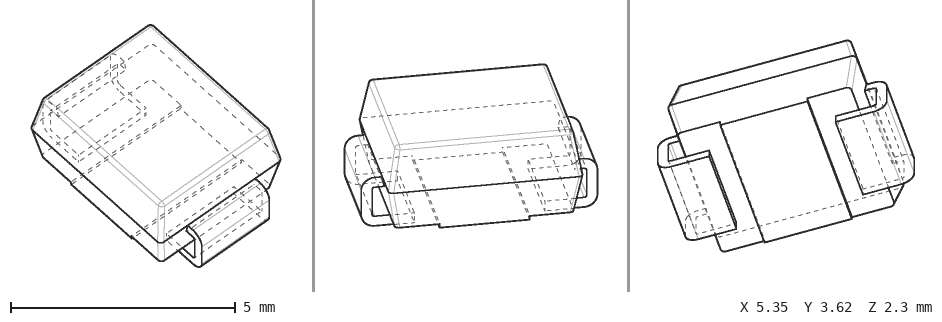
import cadquery as cq

TOTAL_LENGTH = 5.35
TOTAL_HEIGHT = 2.3

BODY_LENGTH = 4.4
BODY_WIDTH = 3.62
PARTING_Z = 1.225
DRAFT_ANGLE = 10.0
EDGE_RADIUS = 0.1

PAD_LENGTH = 2.04
PAD_DEPTH = 0.1

LEAD_WIDTH = 2.0
LEAD_THICKNESS = 0.245
LEAD_OUTER_RADIUS = 0.305
FOOT_LENGTH = 1.2
LEAD_EMBED = 0.215

BODY_BOTTOM_Z = LEAD_THICKNESS
PAD_BOTTOM_Z = BODY_BOTTOM_Z - PAD_DEPTH
LEAD_INNER_RADIUS = LEAD_OUTER_RADIUS - LEAD_THICKNESS


def body_half(height):
    """Tapered half rising from the parting plane, or hanging from it if height is negative."""
    return (
        cq.Workplane("XY", origin=(0, 0, PARTING_Z))
        .rect(BODY_LENGTH, BODY_WIDTH)
        .extrude(height, taper=DRAFT_ANGLE)
    )


def foot_reliefs():
    """Two full-width steps that lift the body ends above the pad to clear the feet."""
    relief_length = (BODY_LENGTH - PAD_LENGTH) / 2
    center_x = (BODY_LENGTH + PAD_LENGTH) / 4
    return (
        cq.Workplane("XY", origin=(0, 0, PAD_BOTTOM_Z))
        .pushPoints([(-center_x, 0), (center_x, 0)])
        .rect(relief_length, BODY_WIDTH)
        .extrude(PAD_DEPTH)
    )


def make_body():
    """Upper half rounded at corners and top rim, lower half at corners only, with the pad left standing."""
    upper = body_half(TOTAL_HEIGHT - PARTING_Z)
    upper = upper.edges("not <Z").fillet(EDGE_RADIUS)
    lower = body_half(PAD_BOTTOM_Z - PARTING_Z)
    lower = lower.edges("not(<Z or >Z)").fillet(EDGE_RADIUS)
    return upper.union(lower).cut(foot_reliefs())


def make_lead():
    """C-shaped strip at the -X end: upper arm, vertical leg and foot turned under the body."""
    outer_x = -TOTAL_LENGTH / 2
    inner_x = outer_x + LEAD_THICKNESS
    arm_end_x = -BODY_LENGTH / 2 + LEAD_EMBED
    foot_end_x = outer_x + FOOT_LENGTH
    arm_bottom_z = PARTING_Z - LEAD_THICKNESS

    strip = (
        cq.Workplane("XZ")
        .moveTo(arm_end_x, PARTING_Z)
        .lineTo(outer_x, PARTING_Z)
        .lineTo(outer_x, 0)
        .lineTo(foot_end_x, 0)
        .lineTo(foot_end_x, LEAD_THICKNESS)
        .lineTo(inner_x, LEAD_THICKNESS)
        .lineTo(inner_x, arm_bottom_z)
        .lineTo(arm_end_x, arm_bottom_z)
        .close()
        .extrude(LEAD_WIDTH / 2, both=True)
    )
    strip = strip.edges("|Y and <X").fillet(LEAD_OUTER_RADIUS)
    inner_bends = cq.selectors.BoxSelector(
        (inner_x - LEAD_INNER_RADIUS / 2, -LEAD_WIDTH, 0),
        (inner_x + LEAD_INNER_RADIUS / 2, LEAD_WIDTH, PARTING_Z),
    )
    return strip.edges("|Y").edges(inner_bends).fillet(LEAD_INNER_RADIUS)


left_lead = make_lead()
right_lead = left_lead.mirror("YZ")

result = make_body().union(left_lead).union(right_lead)